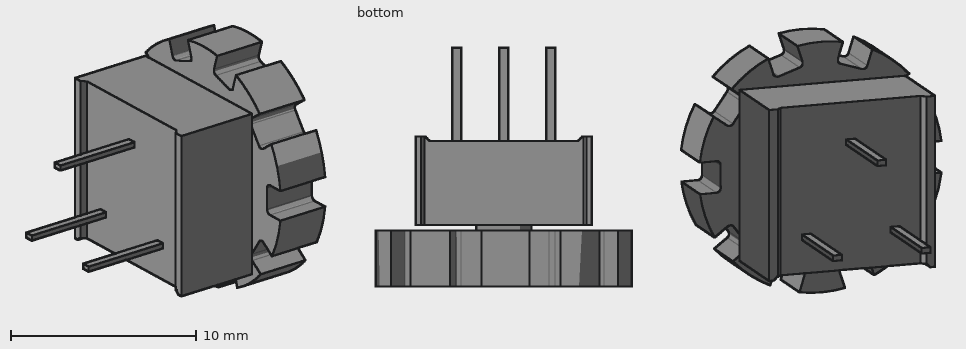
import cadquery as cq


wheel_diameter = 13.95
wheel_thickness = 3.04
slot_count = 10
slot_pitch_angle = 36.1
slot_width = 1.76
slot_floor_radius = 5.73
slot_corner_radius = 0.25

neck_diameter = 3.0
neck_length = 0.28

body_width = 9.51
body_depth = 4.8

front_recess_depth = 0.25
front_foot_width = 0.5
front_foot_slope = 0.25
lower_recess_depth = 0.2
lower_foot_width = 0.28
lower_foot_slope = 0.18

pin_width = 0.5
pin_height = 0.3
pin_length = 4.78
pin_offset = 2.54
pin_positions = [(-pin_offset, -pin_offset), (0, pin_offset), (pin_offset, -pin_offset)]

wheel_start = body_depth + neck_length


def recess_outline(plane, foot_width, slope, depth):
    """Trapezoid between the feet, starting on the body edge and narrowing inwards."""
    half_mouth = body_width / 2 - foot_width
    half_floor = half_mouth - slope
    return (
        cq.Workplane(plane)
        .moveTo(-half_mouth, 0)
        .lineTo(-half_floor, depth)
        .lineTo(half_floor, depth)
        .lineTo(half_mouth, 0)
        .close()
    )


def make_body():
    body = cq.Workplane("XY").box(body_width, body_depth, body_width)
    body = body.translate((0, body_depth / 2, 0))

    front_recess = recess_outline("XY", front_foot_width, front_foot_slope, front_recess_depth)
    front_recess = front_recess.extrude(body_width / 2, both=True)

    lower_recess = recess_outline("XZ", lower_foot_width, lower_foot_slope, lower_recess_depth)
    lower_recess = lower_recess.extrude(-body_depth).translate((0, 0, -body_width / 2))

    return body.cut(front_recess).cut(lower_recess)


def make_slot_cutter():
    """Cutter for the slot on the +X side, with rounded floor corners."""
    slot_length = wheel_diameter / 2
    return (
        cq.Workplane("XY")
        .box(slot_length, wheel_thickness, slot_width)
        .edges("|Y and <X")
        .fillet(slot_corner_radius)
        .translate((slot_floor_radius + slot_length / 2, wheel_start + wheel_thickness / 2, 0))
    )


def make_wheel():
    wheel_plane = cq.Workplane("XZ", origin=(0, wheel_start, 0))
    wheel = wheel_plane.circle(wheel_diameter / 2).extrude(-wheel_thickness)
    slot = make_slot_cutter()
    for index in range(slot_count):
        wheel = wheel.cut(slot.rotate((0, 0, 0), (0, 1, 0), -index * slot_pitch_angle))
    return wheel


def make_neck():
    neck_plane = cq.Workplane("XZ", origin=(0, body_depth, 0))
    return neck_plane.circle(neck_diameter / 2).extrude(-neck_length)


def make_pins():
    return (
        cq.Workplane("XZ", origin=(0, front_recess_depth, 0))
        .pushPoints(pin_positions)
        .rect(pin_width, pin_height)
        .extrude(pin_length + front_recess_depth)
    )


result = make_body().union(make_neck()).union(make_wheel()).union(make_pins())